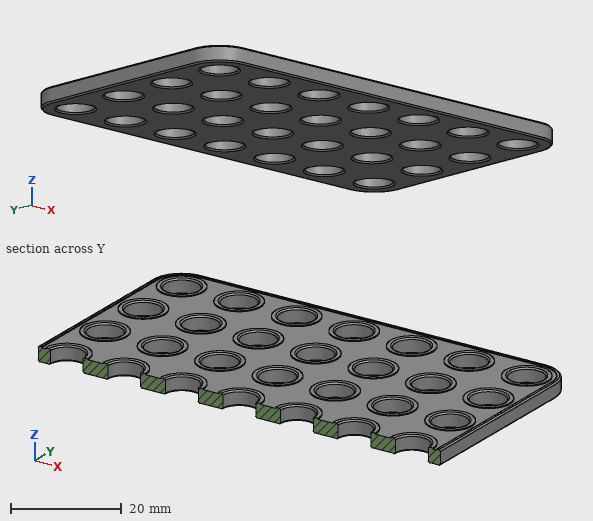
import cadquery as cq

pitch = 12.5
columns = 7
rows = 4
length = columns * pitch
width = rows * pitch
thickness = pitch / 4
corner_radius = pitch / 2

edge_chamfer = 0.3

hole_diameter = 7.0
ring_diameter = 9.2

rim_width = 0.8
pocket_depth = 0.2


def hole_grid(height):
    """Workplane at the given height with a point at each hole centre."""
    return cq.Workplane("XY", origin=(0, 0, height)).rarray(pitch, pitch, columns, rows)


def rounded_block(inset, base, height):
    """Block with the plate outline moved inwards by inset, standing on the base height."""
    block = cq.Workplane("XY", origin=(0, 0, base)).rect(length - 2 * inset, width - 2 * inset)
    return block.extrude(height).edges("|Z").fillet(corner_radius - inset)


def make_plate():
    """Rounded plate with its through holes, chamfered along every top and bottom edge."""
    plate = rounded_block(0, 0, thickness)
    plate = plate.cut(hole_grid(0).circle(hole_diameter / 2).extrude(thickness))
    return plate.faces("<Z or >Z").chamfer(edge_chamfer)


def make_pocket():
    """Volume removed from the top face: everything inside the rim except the rings."""
    floor = thickness - pocket_depth
    rings = hole_grid(floor).circle(ring_diameter / 2).extrude(pocket_depth)
    return rounded_block(rim_width, floor, pocket_depth).cut(rings)


result = make_plate().cut(make_pocket())